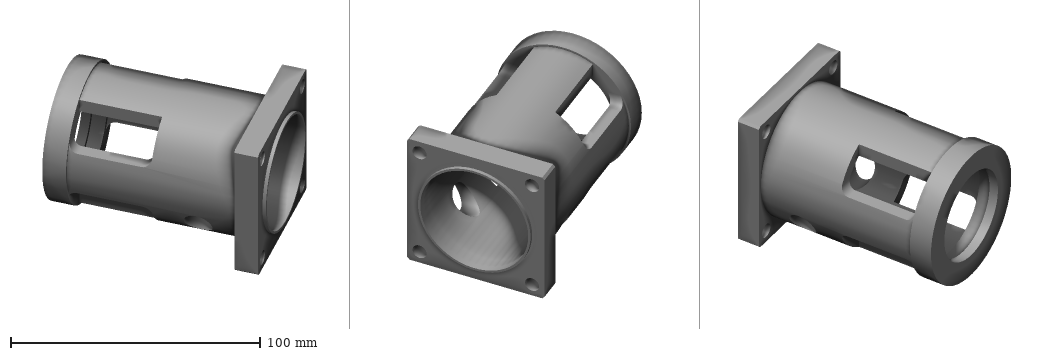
import cadquery as cq

total_length = 93.0
collar_length = 10.0
flange_thickness = 10.0
pilot_length = 1.5
flange_end = total_length - pilot_length
flange_start = flange_end - flange_thickness

collar_diameter = 60.0
tube_diameter = 58.0
flange_side = 61.0
flange_corner_chamfer = 1.0
pilot_diameter = 50.0

mouth_diameter = 40.0
mouth_length = 4.0
seat_diameter = 44.0
bore_diameter = 48.0

window_end = 45.0
window_half_gap_y = 13.0
window_half_gap_z = 9.95
window_corner_radius = 4.0

cross_hole_diameter = 12.0
cross_hole_x = 64.3
cross_hole_z = -15.0

bolt_hole_diameter = 6.2
bolt_pitch = 50.0


def cylinder(diameter, start, end):
    """Solid cylinder on the X axis between two X positions."""
    return cq.Workplane("YZ", origin=(start, 0, 0)).circle(diameter / 2).extrude(end - start)


def flange():
    """Square flange with chamfered corners and four bolt holes."""
    plate = (
        cq.Workplane("YZ", origin=(flange_start, 0, 0))
        .rect(flange_side, flange_side)
        .extrude(flange_thickness)
        .edges("|X")
        .chamfer(flange_corner_chamfer)
    )
    return (
        plate.faces("<X")
        .workplane(centerOption="CenterOfBoundBox")
        .rect(bolt_pitch, bolt_pitch, forConstruction=True)
        .vertices()
        .hole(bolt_hole_diameter)
    )


def window(y_side, z_side):
    """Cutter for one quadrant, with its two corners nearest the XY plane rounded."""
    reach = flange_side / 2
    length = window_end - collar_length
    depth = reach - window_half_gap_y
    height = reach - window_half_gap_z
    block = cq.Workplane().box(length, depth, height)
    inner_edges = "|Y and <Z" if z_side > 0 else "|Y and >Z"
    block = block.edges(inner_edges).fillet(window_corner_radius)
    return block.translate(
        (
            (collar_length + window_end) / 2,
            y_side * (window_half_gap_y + reach) / 2,
            z_side * (window_half_gap_z + reach) / 2,
        )
    )


def cross_hole():
    """Cutter parallel to Y that passes through both walls of the tube."""
    return (
        cq.Workplane("XZ")
        .center(cross_hole_x, cross_hole_z)
        .circle(cross_hole_diameter / 2)
        .extrude(flange_side, both=True)
    )


body = (
    cylinder(collar_diameter, 0, collar_length)
    .union(cylinder(tube_diameter, collar_length, flange_start))
    .union(flange())
    .union(cylinder(pilot_diameter, flange_end, total_length))
)

body = body.cut(cylinder(mouth_diameter, 0, mouth_length))
body = body.cut(cylinder(seat_diameter, mouth_length, collar_length))
body = body.cut(cylinder(bore_diameter, collar_length, total_length))

for y_side in (-1, 1):
    for z_side in (-1, 1):
        body = body.cut(window(y_side, z_side))

result = body.cut(cross_hole())